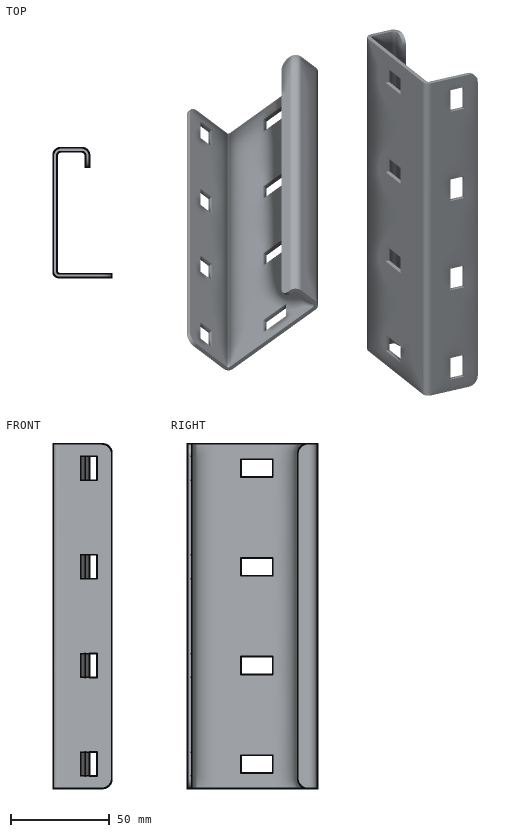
import cadquery as cq

length = 175.0
depth = 66.0
flange_width = 30.0
return_width = 18.5
lip_depth = 10.0

thickness = 2.1
flange_bend_inner = 1.0
return_bend_inner = 2.0
corner_radius = 5.0

slot_count = 4
slot_pitch = 50.0
flange_slot_width = 8.0
flange_slot_height = 12.0
flange_slot_x = 18.2
web_slot_width = 16.0
web_slot_height = 9.0
web_slot_y = 35.2

cutter_depth = 4 * thickness


def block(x_min, x_max, y_min, y_max):
    """Full-length block with its base on Z = 0."""
    return (
        cq.Workplane("XY")
        .box(x_max - x_min, y_max - y_min, length, centered=False)
        .translate((x_min, y_min, 0))
    )


def rounded_block(x_min, x_max, y_min, y_max, flange_bend, return_bend):
    """Full-length block with one flange bend and two return bends on its edges."""
    solid = block(x_min, x_max, y_min, y_max)
    solid = solid.edges("|Z and <X and <Y").fillet(flange_bend)
    return solid.edges("|Z and >Y").fillet(return_bend)


def folded_sheet():
    """Wide flange, web, return and short lip, joined by rounded bends."""
    outer = rounded_block(
        0, return_width, 0, depth,
        flange_bend_inner + thickness, return_bend_inner + thickness,
    )
    inner = rounded_block(
        thickness, return_width - thickness, thickness, depth - thickness,
        flange_bend_inner, return_bend_inner,
    )
    opening = block(return_width - thickness, return_width, thickness, depth - lip_depth)
    flange_end = block(return_width - thickness, flange_width, 0, thickness)
    return outer.cut(inner).cut(opening).union(flange_end).clean()


def round_free_corners(sheet):
    """Round the end corners of the flange and of the lip."""
    sheet = sheet.edges("|Y and >X").fillet(corner_radius)
    lip_end_corners = cq.selectors.BoxSelector(
        (return_width - 2 * thickness, depth - lip_depth - thickness, -thickness),
        (return_width + thickness, depth - lip_depth + thickness, length + thickness),
    )
    return sheet.edges("|X").edges(lip_end_corners).fillet(corner_radius)


def slot_row(width_x, width_y, height, x, y):
    """Row of rectangular cutters centred along the length."""
    return (
        cq.Workplane("XZ", origin=(x, y, length / 2))
        .rarray(1.8, slot_pitch, 1, slot_count)
        .rect(width_x, height)
        .extrude(width_y / 2, both=True)
    )


flange_slots = slot_row(flange_slot_width, cutter_depth, flange_slot_height, flange_slot_x, thickness / 2)
web_slots = slot_row(cutter_depth, web_slot_width, web_slot_height, thickness / 2, web_slot_y)

result = round_free_corners(folded_sheet()).cut(flange_slots).cut(web_slots)